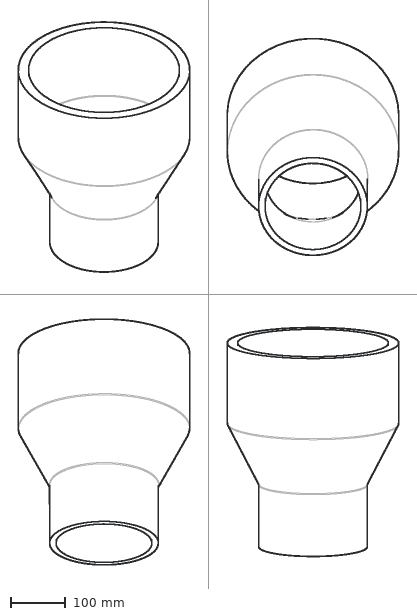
import cadquery as cq

total_height = 380.0
wide_diameter = 315.0
wide_bore = 277.0
wide_height = 150.0
narrow_diameter = 200.0
narrow_bore = 176.0
narrow_height = 117.0
blend_radius = 5.0

wide_base = total_height - wide_height


def stepped_solid(bottom_diameter, top_diameter):
    """Narrow cylinder, cone and wide cylinder revolved as one profile."""
    bottom_radius = bottom_diameter / 2
    top_radius = top_diameter / 2
    solid = (
        cq.Workplane("XZ")
        .moveTo(0, 0)
        .lineTo(bottom_radius, 0)
        .lineTo(bottom_radius, narrow_height)
        .lineTo(top_radius, wide_base)
        .lineTo(top_radius, total_height)
        .lineTo(0, total_height)
        .close()
        .revolve(360, (0, 0, 0), (0, 1, 0))
    )
    cone_ends = cq.selectors.BoxSelector(
        (-top_radius, -top_radius, narrow_height / 2),
        (top_radius, top_radius, wide_base + wide_height / 2),
    )
    return solid.edges("%CIRCLE").edges(cone_ends).fillet(blend_radius)


outer_body = stepped_solid(narrow_diameter, wide_diameter)
bore = stepped_solid(narrow_bore, wide_bore)

result = outer_body.cut(bore)